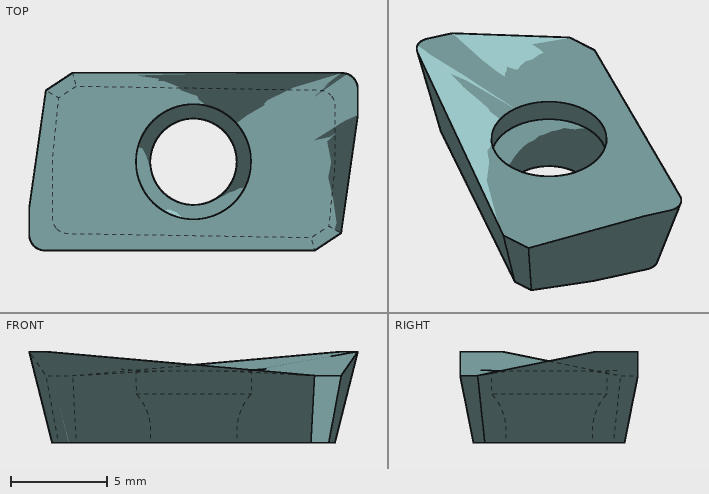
import cadquery as cq
import math

length = 17.11
width = 9.25
height = 4.75
low_corner_height = 3.5
corner_radius = 0.85

rim_radius = 3.0
rim_height = 3.76
seat_height = 2.57
seat_bottom = 0.63
through_radius = 2.24

half_length = length / 2
half_width = width / 2

stations = [
    ((half_length, 2.43, height), (7.35, -0.07, 0), 0.0),
    ((half_length, half_width - corner_radius, height), (7.35, 2.95, 0), 10.0),
    ((half_length - corner_radius, half_width, height), (6.47, 3.73, 0), 17.5),
    ((-6.3, half_width, low_corner_height), (-6.1, 3.94, 0), 121.5),
    ((-7.68, 3.71, low_corner_height), (-7.03, 3.34, 0), 133.7),
]
rounded_span = 1


def half_turn(station):
    """Return the station turned by 180 degrees about Z."""
    top, bottom, angle = station
    return (-top[0], -top[1], top[2]), (-bottom[0], -bottom[1], bottom[2]), angle + 180


def corner_arc(start, end):
    """Quarter round joining an edge along Y at start to an edge along X at end."""
    inset = 1 - math.sqrt(0.5)
    middle = (
        start[0] + (end[0] - start[0]) * inset,
        end[1] + (start[1] - end[1]) * inset,
        start[2],
    )
    return cq.Edge.makeThreePointArc(cq.Vector(*start), cq.Vector(*middle), cq.Vector(*end))


def straight_edge(start, end):
    return cq.Edge.makeLine(cq.Vector(*start), cq.Vector(*end))


def rim_point(angle):
    turn = math.radians(angle)
    return cq.Vector(rim_radius * math.cos(turn), rim_radius * math.sin(turn), rim_height)


def rim_arc(start_angle, end_angle):
    middle_angle = (start_angle + end_angle) / 2
    return cq.Edge.makeThreePointArc(
        rim_point(start_angle), rim_point(middle_angle), rim_point(end_angle)
    )


def make_body():
    """Close ruled flanks and ruled top facets with a flat base and a flat rim disc."""
    ring = stations + [half_turn(station) for station in stations]
    faces = []
    base_edges = []
    rim_edges = []
    for index, (top, bottom, angle) in enumerate(ring):
        next_top, next_bottom, next_angle = ring[(index + 1) % len(ring)]
        if next_angle < angle:
            next_angle += 360
        is_rounded = index % len(stations) == rounded_span
        make_edge = corner_arc if is_rounded else straight_edge
        top_edge = make_edge(top, next_top)
        base_edge = make_edge(bottom, next_bottom)
        rim_edge = rim_arc(angle, next_angle)
        faces.append(cq.Face.makeRuledSurface(base_edge, top_edge))
        faces.append(cq.Face.makeRuledSurface(top_edge, rim_edge))
        base_edges.append(base_edge)
        rim_edges.append(rim_edge)
    for edges in (base_edges, rim_edges):
        faces.append(cq.Face.makeFromWires(cq.Wire.assembleEdges(edges)))
    return cq.Workplane(cq.Solid.makeSolid(cq.Shell.makeShell(faces)))


def make_hole():
    """Screw hole whose convex seat runs tangentially into the through hole."""
    bore = cq.Workplane().workplane(offset=seat_height).circle(rim_radius).extrude(height - seat_height)
    inset = rim_radius - through_radius
    drop = seat_height - seat_bottom
    seat_radius = (inset**2 + drop**2) / (2 * inset)
    half_sweep = math.asin(drop / seat_radius) / 2
    seat_middle = (
        through_radius + seat_radius * (1 - math.cos(half_sweep)),
        seat_bottom + seat_radius * math.sin(half_sweep),
    )
    seat = (
        cq.Workplane("XZ")
        .moveTo(0, 0)
        .lineTo(through_radius, 0)
        .lineTo(through_radius, seat_bottom)
        .threePointArc(seat_middle, (rim_radius, seat_height))
        .lineTo(0, seat_height)
        .close()
        .revolve(360, (0, 0, 0), (0, 1, 0))
    )
    return bore.union(seat)


result = make_body().cut(make_hole())